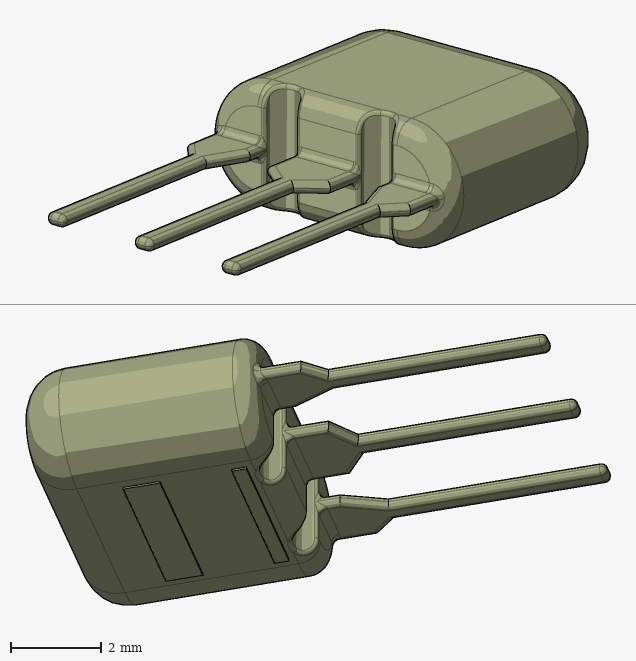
import cadquery as cq

total_length = 12.0
body_width = 7.0
body_thickness = 3.0
body_length = 5.5
back_edge_radius = 1.0
front_edge_radius = 0.5

notch_radius = 0.45
notch_x = 1.35
notch_edge_radius = 0.1

lead_length = total_length - body_length
lead_thickness = 0.3
lead_edge_flat = 0.002
lead_edge_radius = (lead_thickness - lead_edge_flat) / 2
lead_embedment = 0.72
pin_width = 0.5
pin_pitch = 2.5
inner_tab_half_width = notch_x - notch_radius
outer_tab_inner_edge = notch_x + notch_radius
outer_tab_outer_edge = 3.2
long_tab_side = 1.0
short_tab_side = 0.5
taper_end = 1.5
root_radius = 0.18

pad_width = 3.55
pad_height = 0.05
pad_places = [(3.07, 0.85), (0.83, 0.34)]


def make_body():
    """Rounded stadium body with two notches cut through its front edge."""
    body = (
        cq.Workplane("XZ")
        .slot2D(body_width, body_thickness)
        .extrude(-body_length)
        .faces(">Y").edges().fillet(back_edge_radius)
        .faces("<Y").edges().fillet(front_edge_radius)
    )
    for x in (-notch_x, notch_x):
        notch = (
            cq.Workplane("XY", origin=(x, 0, -body_thickness))
            .circle(notch_radius)
            .extrude(2 * body_thickness)
        )
        reach = notch_radius + notch_edge_radius / 2
        around_notch = cq.selectors.BoxSelector(
            (x - reach, -reach, -body_thickness),
            (x + reach, reach, body_thickness),
            boundingbox=True,
        )
        body = body.cut(notch).edges(around_notch).fillet(notch_edge_radius)
    return body


def make_lead(pin_x, left_edge, right_edge, left_side, right_side):
    """Tab that tapers to a thin pin, with rounded edges and a rounded tip."""
    pin_left = pin_x - pin_width / 2
    pin_right = pin_x + pin_width / 2
    outline = [
        (left_edge, lead_embedment),
        (left_edge, -left_side),
        (pin_left, -taper_end),
        (pin_left, -lead_length),
        (pin_right, -lead_length),
        (pin_right, -taper_end),
        (right_edge, -right_side),
        (right_edge, lead_embedment),
    ]
    return (
        cq.Workplane("XY", origin=(0, 0, -lead_thickness / 2))
        .polyline(outline)
        .close()
        .extrude(lead_thickness)
        .faces("<Y").edges("|Z").fillet(lead_edge_radius)
        .faces("<Z or >Z").edges().fillet(lead_edge_radius)
    )


def round_lead_roots(part):
    """Fillet the joints where the tabs enter the front face, between the notches."""
    root_edges = cq.selectors.BoxSelector(
        (-body_width, -root_radius / 2, -lead_thickness),
        (body_width, root_radius / 2, lead_thickness),
        boundingbox=True,
    )
    return part.edges(root_edges).fillet(root_radius)


def make_pad(centre_y, length):
    """Rectangular pad that stands slightly proud of the underside."""
    underside = cq.Workplane("XY", origin=(0, centre_y, -body_thickness / 2))
    return underside.rect(pad_width, length).extrude(-pad_height)


inner_lead = make_lead(0, -inner_tab_half_width, inner_tab_half_width, long_tab_side, long_tab_side)
right_lead = make_lead(pin_pitch, outer_tab_inner_edge, outer_tab_outer_edge, short_tab_side, long_tab_side)
left_lead = right_lead.mirror("YZ")

with_leads = make_body().union(inner_lead).union(right_lead).union(left_lead)
result = round_lead_roots(with_leads)
for centre_y, length in pad_places:
    result = result.union(make_pad(centre_y, length))